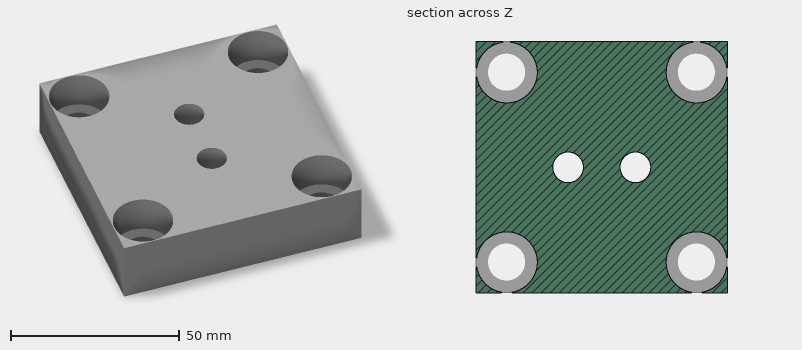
import cadquery as cq

side = 75.0
thickness = 20.0

corner_spacing = 56.5
corner_hole_diameter = 11.0
counterbore_diameter = 18.0
counterbore_depth = 12.0

center_hole_spacing = 20.0
center_hole_diameter = 9.0

plate = cq.Workplane("XY").box(side, side, thickness, centered=(True, True, False))

with_corner_holes = (
    plate.faces(">Z")
    .workplane()
    .rect(corner_spacing, corner_spacing, forConstruction=True)
    .vertices()
    .cboreHole(corner_hole_diameter, counterbore_diameter, counterbore_depth)
)

result = (
    with_corner_holes.faces(">Z")
    .workplane(origin=(0, 0, thickness))
    .rarray(center_hole_spacing, 0.75, 2, 1)
    .hole(center_hole_diameter)
)